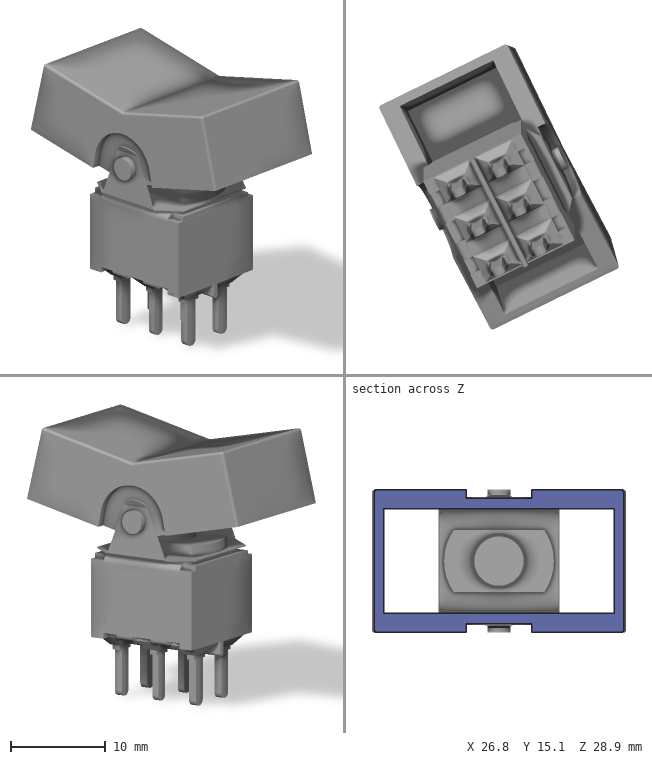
import cadquery as cq
import math


HOUSING_LENGTH = 12.75
HOUSING_WIDTH = 11.5
SHOULDER_Z = 8.44
HOUSING_TOP_Z = 8.95
CORNER_STEP = 0.73
STEP_LENGTH = 12.69
COVER_LENGTH = 9.6
COVER_WIDTH = 11.44
COVER_BOTTOM_Z = 0.62
COVER_TOP_RADIUS = 0.74
CORE_SETBACK = 1.15
TAB_LENGTH = 1.95
TAB_OFFSET = 2.18
TAB_DROP = 0.5
TAB_CURL_RADIUS = 0.45

PLATFORM_LENGTH = 11.0
PLATFORM_WIDTH = 9.6
PLATFORM_CORNER_RADIUS = 0.75
BRACKET_BASE_Z = 9.45
SHEET = 0.1
BEND_RADIUS = 0.15
BRACKET_LENGTH = 12.6
BRACKET_WIDTH = 13.5
BRACKET_END_WIDTH = 9.5
EAR_BASE = 7.4
EAR_TIP = 2.9
EAR_TOP_Z = 15.01
FLARE_HEIGHT = 0.76
FLARE_ANGLE = 30

FLANGE_DIAMETER = 11.57
FLANGE_WIDTH = 6.56
FLANGE_TOP_Z = 10.65
BUSHING_DIAMETER = 5.2
BUSHING_TOP_Z = 14.12

ROCKER_WIDTH = 15.11
ROCKER_LENGTH = 26.8
ROCKER_BOTTOM_Z = 11.49
VALLEY_Z = 19.79
ARM_ANGLE = 12.4
TIP_HALF_LENGTH = 11.46
ROCKER_EDGE_RADIUS = 0.3
END_WALL = 0.95
ROOF = 1.0
CAVITY_WIDTH = 11.0

PIVOT_Z = 13.37
PIVOT_DIAMETER = 2.45
RECESS_RADIUS = 4.0
RECESS_LEG_ANGLE = 11

TERMINAL_PITCH_X = 4.7
TERMINAL_PITCH_Y = 4.84
OUTER_TERMINAL_THICKNESS = 0.88
CENTRE_TERMINAL_THICKNESS = 0.78
TERMINAL_WIDTH = 1.28
TERMINAL_END_Z = -6.61
TERMINAL_TIP_RADIUS = 0.6
SHOULDER_WIDTH = 2.13
SHOULDER_END_Z = -1.55
SEAL_TOP = (3.05, 4.35)
SEAL_BOTTOM = (1.38, 2.2)
SEAL_END_Z = -1.05
DIVIDER_THICKNESS = 0.54
DIVIDER_END_Z = -1.57

ARM_SLOPE = math.tan(math.radians(ARM_ANGLE))
EAR_INNER_Y = BRACKET_WIDTH / 2 - SHEET
JOINT = 0.2
EDGE_TOLERANCE = 0.2


def block(length, width, z_low, z_high):
    """Box centred on the Z axis between two heights."""
    return cq.Workplane("XY").workplane(offset=z_low).rect(length, width).extrude(z_high - z_low)


def both_sides(body):
    """A body on the -Y side together with its mirror image."""
    return body.union(body.mirror("XZ"))


def make_housing():
    """Stepped end blocks with a folded cover between them and a set-back core below it."""
    ends = block(HOUSING_LENGTH, HOUSING_WIDTH, 0, SHOULDER_Z)
    ends = ends.union(block(STEP_LENGTH, HOUSING_WIDTH - 2 * CORNER_STEP, 0, HOUSING_TOP_Z))
    cover_gap = block(COVER_LENGTH, HOUSING_WIDTH, 0, HOUSING_TOP_Z)
    core = block(COVER_LENGTH, HOUSING_WIDTH - 2 * CORE_SETBACK, 0, COVER_BOTTOM_Z)
    cover = block(COVER_LENGTH, COVER_WIDTH, COVER_BOTTOM_Z, HOUSING_TOP_Z)
    cover = cover.faces(">Z").edges("|X").fillet(COVER_TOP_RADIUS)
    return ends.cut(cover_gap).union(core).union(cover)


def make_cover_tabs():
    """Cover tabs that curl under the housing."""
    outer_y = -COVER_WIDTH / 2
    tabs = cq.Workplane("XY")
    for side in (-1, 1):
        tab = (
            cq.Workplane("XY", origin=(side * TAB_OFFSET, outer_y, COVER_BOTTOM_Z - TAB_DROP))
            .box(TAB_LENGTH, CORE_SETBACK, TAB_DROP, centered=(True, False, False))
            .edges("|X and <Y and <Z")
            .fillet(TAB_CURL_RADIUS)
        )
        tabs = tabs.union(tab)
    return both_sides(tabs)


def make_platform():
    """Low block with 45 degree sides that carries the bracket."""
    height = BRACKET_BASE_Z - HOUSING_TOP_Z

    def outline(inset):
        return (
            cq.Sketch()
            .rect(PLATFORM_LENGTH - 2 * inset, PLATFORM_WIDTH - 2 * inset)
            .vertices()
            .fillet(PLATFORM_CORNER_RADIUS)
        )

    top = outline(height).moved(cq.Location(cq.Vector(0, 0, height)))
    return cq.Workplane("XY").workplane(offset=HOUSING_TOP_Z).placeSketch(outline(0), top).loft(ruled=True)


def make_bracket():
    """Sheet-metal plate with clipped corners and two ears that lean out at the tip."""
    half_length = BRACKET_LENGTH / 2
    half_end = BRACKET_END_WIDTH / 2
    half_ear = EAR_BASE / 2
    half_width = BRACKET_WIDTH / 2
    plate = block(BRACKET_LENGTH, BRACKET_WIDTH, BRACKET_BASE_Z, BRACKET_BASE_Z + SHEET)
    for sx in (-1, 1):
        for sy in (-1, 1):
            cutter = (
                cq.Workplane("XY", origin=(0, 0, BRACKET_BASE_Z))
                .polyline([
                    (sx * half_length, sy * half_width),
                    (sx * half_ear, sy * half_width),
                    (sx * half_length, sy * half_end),
                ])
                .close()
                .extrude(SHEET)
            )
            plate = plate.cut(cutter)
    ear = (
        cq.Workplane("XZ", origin=(0, -EAR_INNER_Y, 0))
        .polyline([
            (-half_ear, BRACKET_BASE_Z),
            (half_ear, BRACKET_BASE_Z),
            (EAR_TIP / 2, EAR_TOP_Z),
            (-EAR_TIP / 2, EAR_TOP_Z),
        ])
        .close()
        .extrude(SHEET)
    )
    lean = math.radians(FLARE_ANGLE)
    flare = (
        cq.Workplane("XZ", origin=(0, -EAR_INNER_Y, EAR_TOP_Z))
        .moveTo(-EAR_TIP / 2, 0)
        .threePointArc((0, FLARE_HEIGHT / math.cos(lean)), (EAR_TIP / 2, 0))
        .close()
        .extrude(SHEET)
        .rotate((0, -EAR_INNER_Y, EAR_TOP_Z), (1, -EAR_INNER_Y, EAR_TOP_Z), FLARE_ANGLE)
    )
    bracket = plate.union(both_sides(ear)).faces("<Z").edges("<Y or >Y").fillet(BEND_RADIUS)
    return bracket.union(both_sides(flare))


def make_bushing():
    """Round post on a flange with two flats."""
    top = BRACKET_BASE_Z + SHEET
    flange = cq.Workplane("XY").workplane(offset=top).circle(FLANGE_DIAMETER / 2).extrude(FLANGE_TOP_Z - top)
    flange = flange.intersect(block(FLANGE_DIAMETER, FLANGE_WIDTH, top, FLANGE_TOP_Z))
    post = cq.Workplane("XY").workplane(offset=top).circle(BUSHING_DIAMETER / 2).extrude(BUSHING_TOP_Z - top)
    return flange.union(post)


def chevron(base_x, tip_x, base_z, valley_z, width):
    """Shallow V-shaped prism along Y with upper and lower faces at the arm slope."""
    base = (base_x, base_z + base_x * ARM_SLOPE)
    tip = (tip_x, valley_z + tip_x * ARM_SLOPE)
    return (
        cq.Workplane("XZ", origin=(0, width / 2, 0))
        .moveTo(0, base_z)
        .lineTo(*base)
        .lineTo(*tip)
        .lineTo(0, valley_z)
        .lineTo(-tip[0], tip[1])
        .lineTo(-base[0], base[1])
        .close()
        .extrude(width)
    )


def make_recess():
    """Arched pocket around the pivot, open at the bottom, on the -Y side."""
    leg = math.radians(RECESS_LEG_ANGLE)
    leg_x = RECESS_RADIUS * math.cos(leg)
    leg_z = PIVOT_Z + RECESS_RADIUS * math.sin(leg)
    foot_z = ROCKER_BOTTOM_Z
    foot_x = leg_x + (leg_z - foot_z) * math.tan(leg)
    return (
        cq.Workplane("XZ", origin=(0, -EAR_INNER_Y, 0))
        .moveTo(-foot_x, foot_z)
        .lineTo(-leg_x, leg_z)
        .threePointArc((0, PIVOT_Z + RECESS_RADIUS), (leg_x, leg_z))
        .lineTo(foot_x, foot_z)
        .close()
        .extrude(ROCKER_WIDTH / 2 - EAR_INNER_Y)
    )


def make_rocker():
    """Hollow V-shaped rocker, open underneath."""
    half = ROCKER_LENGTH / 2
    body = chevron(half, TIP_HALF_LENGTH, ROCKER_BOTTOM_Z, VALLEY_Z, ROCKER_WIDTH)
    rim = [edge for edge in body.edges().vals() if not is_bottom_or_valley(edge)]
    body = body.newObject(rim).fillet(ROCKER_EDGE_RADIUS)
    inner_half = half - END_WALL
    inner_tip = TIP_HALF_LENGTH - END_WALL
    cavity = chevron(inner_half, inner_tip, ROCKER_BOTTOM_Z, VALLEY_Z - ROOF, CAVITY_WIDTH)
    return body.cut(cavity).cut(both_sides(make_recess()))


def is_bottom_or_valley(edge):
    """True for the edges of the rocker that stay sharp."""
    centre = edge.Center()
    underside_z = ROCKER_BOTTOM_Z + abs(centre.x) * ARM_SLOPE
    return abs(centre.x) < EDGE_TOLERANCE or centre.z < underside_z + EDGE_TOLERANCE


def make_pivots():
    pivot = (
        cq.Workplane("XZ", origin=(0, -EAR_INNER_Y + JOINT, PIVOT_Z))
        .circle(PIVOT_DIAMETER / 2)
        .extrude(ROCKER_WIDTH / 2 - EAR_INNER_Y + JOINT)
    )
    return both_sides(pivot)


def make_terminal(thickness):
    """Blade with a wider shoulder, leaving the housing through a tapered seal."""
    blade = block(thickness, TERMINAL_WIDTH, TERMINAL_END_Z, 0)
    blade = blade.faces("<Z").edges("|X").fillet(TERMINAL_TIP_RADIUS)
    shoulder = block(thickness, SHOULDER_WIDTH, SHOULDER_END_Z, 0)
    seal = (
        cq.Workplane("XY")
        .rect(*SEAL_TOP)
        .workplane(offset=SEAL_END_Z)
        .rect(*SEAL_BOTTOM)
        .loft(ruled=True)
    )
    return blade.union(shoulder).union(seal)


def make_terminals():
    terminals = cq.Workplane("XY")
    for column in (-1, 0, 1):
        thickness = OUTER_TERMINAL_THICKNESS if column else CENTRE_TERMINAL_THICKNESS
        for row in (-1, 1):
            place = (column * TERMINAL_PITCH_X, row * TERMINAL_PITCH_Y / 2, 0)
            terminals = terminals.union(make_terminal(thickness).translate(place))
    return terminals


def make_divider():
    """Thin fin with a rounded lower edge that separates the two terminal rows."""
    radius = DIVIDER_THICKNESS / 2
    return (
        cq.Workplane("YZ", origin=(-HOUSING_LENGTH / 2, 0, 0))
        .moveTo(-radius, JOINT)
        .lineTo(-radius, DIVIDER_END_Z + radius)
        .threePointArc((0, DIVIDER_END_Z), (radius, DIVIDER_END_Z + radius))
        .lineTo(radius, JOINT)
        .close()
        .extrude(HOUSING_LENGTH)
    )


result = make_housing()
for body in (
    make_cover_tabs(),
    make_platform(),
    make_bracket(),
    make_bushing(),
    make_rocker(),
    make_pivots(),
    make_terminals(),
    make_divider(),
):
    result = result.union(body)